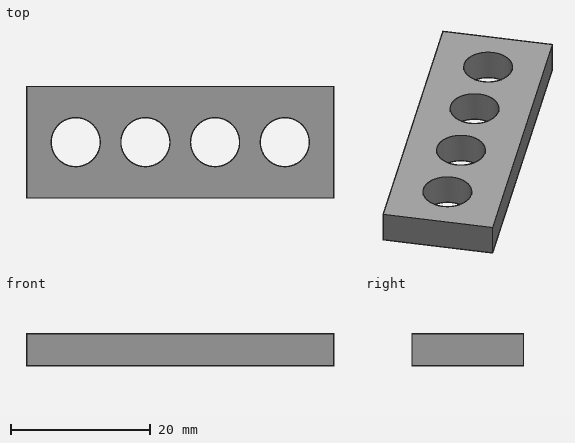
import cadquery as cq

length = 44
width = 16.0
thickness = 4.6

hole_count = 4
hole_diameter = 7.0
hole_pitch = 10.0

bar = cq.Workplane("XY").box(length, width, thickness)

result = (
    bar.faces(">Z")
    .workplane()
    .rarray(hole_pitch, 0.45, hole_count, 1)
    .hole(hole_diameter)
)